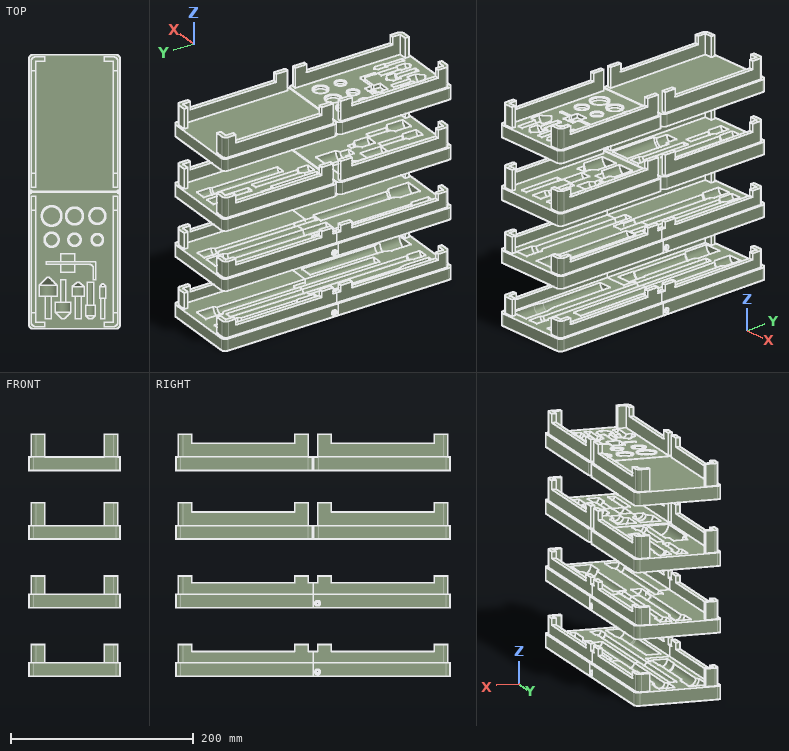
import cadquery as cq
CASE_WIDTH = 100
HALF_LENGTH = 150
BASE_HEIGHT = 15
CASE_PITCH = 75
CORNER_RADIUS = 5

RIM_INSET = 2.5
RIM_THICKNESS = 5
POST_LENGTH = 15
HALF_GAP = 0.5
SPLIT_GAP = 5
RIM_WIDTH = CASE_WIDTH - 2 * RIM_INSET
RIM_INNER_WIDTH = RIM_WIDTH - 2 * RIM_THICKNESS
RIM_END = HALF_LENGTH - RIM_INSET
LOW_CASE_RAIL = 12.5
LOW_CASE_POST = 20
HIGH_CASE_RAIL = 15
HIGH_CASE_POST = 25

TONGUE_WIDTH = 30
TONGUE_LENGTH = 15
HINGE_Y = 5
HINGE_HEIGHT = 5
HINGE_HOLE = 3.09
HINGE_HEAD = 6
HINGE_HEAD_DEPTH = 3

SOCKET_DEPTH = 4
SOCKET_CHAMFER = 1
CHAMFER_ANGLE = 45
SOCKET_COLUMNS = (-25, 0, 25)
SOCKET_ROWS = (
    (-26.5, (20.4, 17.4, 16.4)),
    (-52.5, (14.4, 12.4, 11.4)),
)

KEY_LEFT = -31
KEY_RIGHT = 23.5
KEY_TOP = -76.5
KEY_BOTTOM = -96.5
KEY_WIDTH = 3
KEY_DEPTH = 6
KEY_INNER_RADIUS = 4
KEY_OUTER_RADIUS = 1.5
GRIP_WIDTH = 15
GRIP_LENGTH = 20
GRIP_DEPTH = 5
GRIP_X = -7.5

REAR_END = HALF_LENGTH - 10
FRONT_END = -REAR_END
SHORT_FRONT_END = -138
SMALL_FRONT_END = -139
LOWEST_CASE_TOOLS = (
    (29, ((FRONT_END, 11.7), (-114.5, 11.7), (-105.5, 8), (-10, 8))),
    (10, ((-90, 6), (115, 6), (118, 9.2), (REAR_END, 9.2))),
    (-6, ((FRONT_END, 6.2), (-124, 6.2), (-121.5, 4.2), (115, 4.2))),
    (-29, ((FRONT_END, 11.2), (-109, 11.2), (-98, 8.4), (-15, 8.4))),
    (-27, ((10, 9.2), (33, 9.2), (33, 8.2), (106.5, 8.2), (109.5, 11), (REAR_END, 11))),
)
SECOND_CASE_TOOLS = (
    (11, ((FRONT_END, 11.5), (-114, 11.5), (-109, 7.5), (-12.5, 7.5))),
    (11, ((-11, 3.5), (118.5, 3.5), (122, 6.7), (REAR_END, 6.7))),
    (-9, ((-15, 6.1), (114, 6.1), (118, 9), (REAR_END, 9))),
    (-25, ((FRONT_END, 8.2), (-118, 8.2), (-114.5, 5), (TONGUE_LENGTH, 5))),
)
THIRD_CASE_TOOLS = (
    (22.5, ((SHORT_FRONT_END, 8.6), (-117.5, 8.6), (-113, 3.6), (-87, 3.6))),
    (12, ((-84.5, 8), (-67.5, 8), (-63, 3.5), (-56, 3.5))),
    (2.5, ((-52, 5.6), (-41, 5.6), (-38.5, 10.8), (-12.5, 10.8))),
    (-2.3, ((SHORT_FRONT_END, 6.6), (-120.5, 6.6), (-117.5, 3.6), (-86.5, 3.6))),
    (-12.6, ((-85, 6.6), (-57.8, 6.6))),
    (-23.5, ((SHORT_FRONT_END, 3.9), (-86.5, 3.9))),
    (-25, ((-54, 5.8), (-45, 5.8), (-39, 11.7), (-12.5, 11.7))),
    (12, ((35, 5.8), (120.5, 5.8), (122.5, 7.2), (REAR_END, 7.2))),
    (-3.5, ((5, 6.6), (17.5, 6.6), (20.5, 3.8), (80, 3.8))),
    (-7.5, ((87.5, 3.8), (119.5, 3.8), (122.5, 6.4), (REAR_END, 6.4))),
    (-27, ((5, 12.3), (65, 12.3), (65, 8.2), (80, 8.2))),
)
TOP_CASE_TOOLS = (
    (-28.8, ((SMALL_FRONT_END, 3.4), (-114, 3.4), (-114, 10), (-102.5, 10), (-93.5, 1))),
    (-12.4, ((SMALL_FRONT_END, 1.4), (-132, 8.4), (-120.8, 8.4), (-120.8, 2.9), (-96, 2.9))),
    (4, ((SMALL_FRONT_END, 3.4), (-114, 3.4), (-114, 6.7), (-103.8, 6.7), (-99, 1))),
    (17.5, ((SMALL_FRONT_END, 1.7), (-135.5, 5.2), (-124.2, 5.2), (-124.2, 3.4), (-99, 3.4))),
    (31, ((SMALL_FRONT_END, 2.3), (-116.3, 2.3), (-116.3, 3.4), (-103.7, 3.4), (-100.5, 0.5))),
)


def block(x_size, y_start, y_end, z_start, z_end):
    """Box centred on X."""
    return (
        cq.Workplane("XY", origin=(0, (y_start + y_end) / 2, z_start))
        .box(x_size, y_end - y_start, z_end - z_start, centered=(True, True, False))
    )


def rim(start, rail_height, post_height):
    """Two rails with raised end posts, hooked round the far corners of a rear half."""
    top = BASE_HEIGHT + post_height
    rail_top = BASE_HEIGHT + rail_height
    inner_end = RIM_END - RIM_THICKNESS
    ring = block(RIM_WIDTH, start, RIM_END, BASE_HEIGHT, top).edges("|Z and >Y").fillet(CORNER_RADIUS)
    ring = ring.cut(block(RIM_INNER_WIDTH, start, inner_end, BASE_HEIGHT, top))
    ring = ring.cut(block(RIM_WIDTH - 2 * POST_LENGTH, inner_end, RIM_END, BASE_HEIGHT, top))
    ring = ring.cut(block(RIM_WIDTH, SPLIT_GAP + POST_LENGTH, RIM_END - POST_LENGTH, rail_top, top))
    if start < SPLIT_GAP:
        ring = ring.cut(block(RIM_WIDTH, start, SPLIT_GAP, rail_top, top))
    return ring


def separate_half():
    """Plain rear half rounded at all four corners, standing clear of its partner."""
    base = block(CASE_WIDTH, HALF_GAP, HALF_LENGTH, 0, BASE_HEIGHT).edges("|Z").fillet(CORNER_RADIUS)
    return base.union(rim(SPLIT_GAP, HIGH_CASE_RAIL, HIGH_CASE_POST))


def abutting_half():
    """Plain rear half that meets its partner flush, rounded only at the far corners."""
    base = block(CASE_WIDTH, 0, HALF_LENGTH, 0, BASE_HEIGHT).edges("|Z and >Y").fillet(CORNER_RADIUS)
    return base.union(rim(0, LOW_CASE_RAIL, LOW_CASE_POST))


def hinge_hole():
    """Cross hole through both halves, with a wider recess at each end."""
    side = cq.Workplane("YZ", origin=(-CASE_WIDTH / 2, HINGE_Y, HINGE_HEIGHT))
    hole = side.circle(HINGE_HOLE / 2).extrude(CASE_WIDTH)
    head = side.circle(HINGE_HEAD / 2).extrude(HINGE_HEAD_DEPTH)
    return hole.union(head).union(head.mirror("YZ"))


def tool_pockets(tools):
    """Round tools lying along Y with their axes in the top face of the base."""
    pockets = []
    for x, stations in tools:
        outline = [(0, stations[0][0])]
        outline += [(radius, y) for y, radius in stations]
        outline += [(0, stations[-1][0])]
        tool = cq.Workplane("XY").polyline(outline).close().revolve(360, (0, 0, 0), (0, 1, 0))
        half_space = block(CASE_WIDTH, -HALF_LENGTH, HALF_LENGTH, -BASE_HEIGHT, 0)
        pockets.append(tool.intersect(half_space).translate((x, 0, BASE_HEIGHT)))
    return pockets


def cut_all(body, cutters):
    for cutter in cutters:
        body = body.cut(cutter)
    return body


def sockets():
    """Round holes with a chamfered mouth, as cutters."""
    cutters = []
    for y, diameters in SOCKET_ROWS:
        for x, diameter in zip(SOCKET_COLUMNS, diameters):
            radius = diameter / 2
            top = cq.Workplane("XY", origin=(x, y, BASE_HEIGHT))
            cutters.append(top.circle(radius).extrude(-SOCKET_DEPTH))
            cutters.append(top.circle(radius + SOCKET_CHAMFER).extrude(-SOCKET_CHAMFER, taper=CHAMFER_ANGLE))
    return cutters


def hex_key_slot():
    """L-shaped slot, with a rectangular grip recess across its long leg."""
    inner_x = KEY_RIGHT - KEY_WIDTH
    inner_y = KEY_TOP - KEY_WIDTH
    mid_z = BASE_HEIGHT - KEY_DEPTH / 2
    outline = (
        cq.Workplane("XY", origin=(0, 0, BASE_HEIGHT - KEY_DEPTH))
        .moveTo(KEY_LEFT, KEY_TOP)
        .lineTo(KEY_RIGHT, KEY_TOP)
        .lineTo(KEY_RIGHT, KEY_BOTTOM)
        .lineTo(inner_x, KEY_BOTTOM)
        .lineTo(inner_x, inner_y)
        .lineTo(KEY_LEFT, inner_y)
        .close()
    )
    slot = outline.extrude(KEY_DEPTH)
    outer_corner = cq.selectors.NearestToPointSelector((KEY_RIGHT, KEY_TOP, mid_z))
    slot = slot.edges(outer_corner).fillet(KEY_OUTER_RADIUS)
    inner_corner = cq.selectors.NearestToPointSelector((inner_x, inner_y, mid_z))
    slot = slot.edges(inner_corner).fillet(KEY_INNER_RADIUS)
    grip_y = KEY_TOP - KEY_WIDTH / 2
    grip_start = grip_y - GRIP_LENGTH / 2
    grip = block(GRIP_WIDTH, grip_start, grip_start + GRIP_LENGTH, BASE_HEIGHT - GRIP_DEPTH, BASE_HEIGHT)
    grip = grip.translate((GRIP_X, 0, 0))
    return [slot, grip]


def hinged_case(tools):
    """Front half whose tongue is held between two cheeks of the rear half."""
    tongue = block(TONGUE_WIDTH, 0, TONGUE_LENGTH, 0, BASE_HEIGHT)
    cutters = tool_pockets(tools) + [hinge_hole()]
    front = cut_all(abutting_half().mirror("XZ").union(tongue), cutters)
    rear = cut_all(abutting_half().cut(tongue), cutters)
    return [front, rear]


def separate_case(cutters):
    """Front and rear halves with a narrow gap between them."""
    front = cut_all(separate_half().mirror("XZ"), cutters)
    rear = cut_all(separate_half(), cutters)
    return [front, rear]


cases = [
    hinged_case(LOWEST_CASE_TOOLS),
    hinged_case(SECOND_CASE_TOOLS),
    separate_case(tool_pockets(THIRD_CASE_TOOLS)),
    separate_case(tool_pockets(TOP_CASE_TOOLS) + sockets() + hex_key_slot()),
]

bodies = []
for level, case in enumerate(cases):
    for half in case:
        bodies.append(half.translate((0, 0, level * CASE_PITCH)).val())

result = cq.Compound.makeCompound(bodies)